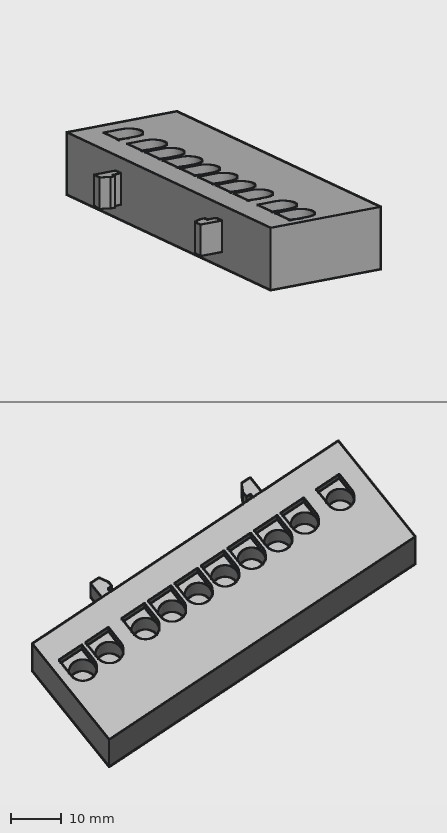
import cadquery as cq

LENGTH = 75.0
HEIGHT = 13.0
TOTAL_DEPTH = 30.9
HOOK_REACH = 5.0
BLOCK_DEPTH = TOTAL_DEPTH - HOOK_REACH

LONG_GROUP_COUNT = 7
LONG_GROUP_SPAN = 39.0
PITCH = LONG_GROUP_SPAN / (LONG_GROUP_COUNT - 1)
ENTRY_CENTRE_Y = 10.2
RECESS_WIDTH = 5.6
RECESS_FRONT_Y = 6.0
RECESS_DEPTH = 2.0
BORE_DIAMETER = 5.55
BORE_DEPTH = 7.5

ENTRY_GROUPS = [(-30.5, 1), (-21.8, LONG_GROUP_COUNT), (26.0, 2)]

HOOK_OUTER_X = 19.6
HOOK_STEM = 2.1
HOOK_TOOTH = 1.0
HOOK_TOOTH_START = 2.0
HOOK_TAPER_START = 3.15
HOOK_HEIGHT = 6.5


def make_block():
    return cq.Workplane("XY").box(LENGTH, BLOCK_DEPTH, HEIGHT, centered=(True, False, False))


def make_entry(x):
    """Recess and bore to cut from the top face at the given x."""
    radius = RECESS_WIDTH / 2
    top = cq.Workplane("XY", origin=(x, 0, HEIGHT))
    recess = (
        top.moveTo(-radius, RECESS_FRONT_Y)
        .lineTo(radius, RECESS_FRONT_Y)
        .lineTo(radius, ENTRY_CENTRE_Y)
        .threePointArc((0, ENTRY_CENTRE_Y + radius), (-radius, ENTRY_CENTRE_Y))
        .close()
        .extrude(-RECESS_DEPTH)
    )
    bore = top.center(0, ENTRY_CENTRE_Y).circle(BORE_DIAMETER / 2).extrude(-BORE_DEPTH)
    return recess.union(bore)


def make_left_hook():
    """Hook on the front face, with its tooth pointing to +X."""
    outer = -HOOK_OUTER_X
    stem = outer + HOOK_STEM
    tooth = stem + HOOK_TOOTH
    profile = [
        (outer, 0),
        (stem, 0),
        (stem, -HOOK_TOOTH_START),
        (tooth, -HOOK_TOOTH_START),
        (tooth, -HOOK_TAPER_START),
        (stem, -HOOK_REACH),
        (outer, -HOOK_REACH),
    ]
    base_z = (HEIGHT - HOOK_HEIGHT) / 2
    return cq.Workplane("XY").workplane(offset=base_z).polyline(profile).close().extrude(HOOK_HEIGHT)


left_hook = make_left_hook()
result = make_block().union(left_hook).union(left_hook.mirror("YZ"))

for first_x, count in ENTRY_GROUPS:
    for index in range(count):
        result = result.cut(make_entry(first_x + index * PITCH))